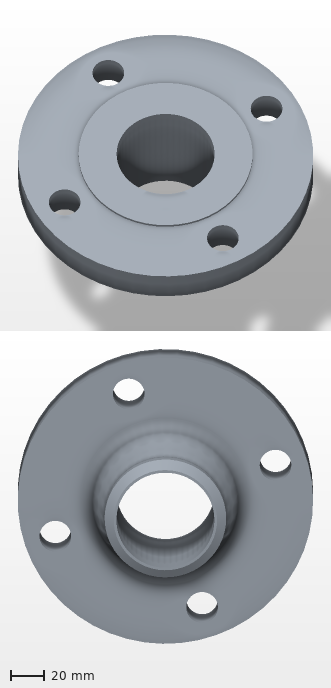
import cadquery as cq
import math


flange_diameter = 177.8
flange_thickness = 22.35
raised_face_diameter = 104.7
raised_face_height = 1.6
overall_height = 69.85

bolt_circle_diameter = 139.7
bolt_hole_diameter = 19.05
bolt_hole_count = 4

bore_diameter = 59.0
pipe_diameter = 73.2
hub_base_diameter = 90.5
hub_fillet_radius = 7.5
weld_land_length = 7.0
weld_root_face = 1.6
weld_bevel_angle = 37.5

bore_radius = bore_diameter / 2
pipe_radius = pipe_diameter / 2
bevel_end_radius = bore_radius + weld_root_face
bevel_height = (pipe_radius - bevel_end_radius) * math.tan(math.radians(weld_bevel_angle))
cone_start_height = bevel_height + weld_land_length
flange_bottom = overall_height - flange_thickness
flange_top = overall_height - raised_face_height

hub_base_radius = hub_base_diameter / 2
hub_taper_angle = math.atan2(hub_base_radius - pipe_radius, flange_bottom - cone_start_height)
fillet_tangent_length = hub_fillet_radius * math.tan((math.pi / 2 - hub_taper_angle) / 2)
fillet_start = (
    hub_base_radius - fillet_tangent_length * math.sin(hub_taper_angle),
    flange_bottom - fillet_tangent_length * math.cos(hub_taper_angle),
)
fillet_end = (hub_base_radius + fillet_tangent_length, flange_bottom)


def make_body():
    """Revolve the half section of the flange, hub and bore around the Z axis."""
    flange_radius = flange_diameter / 2
    raised_face_radius = raised_face_diameter / 2
    half_section = (
        cq.Workplane("XZ")
        .moveTo(bore_radius, 0)
        .lineTo(bevel_end_radius, 0)
        .lineTo(pipe_radius, bevel_height)
        .lineTo(pipe_radius, cone_start_height)
        .lineTo(*fillet_start)
        .radiusArc(fillet_end, hub_fillet_radius)
        .lineTo(flange_radius, flange_bottom)
        .lineTo(flange_radius, flange_top)
        .lineTo(raised_face_radius, flange_top)
        .lineTo(raised_face_radius, overall_height)
        .lineTo(bore_radius, overall_height)
        .close()
    )
    return half_section.revolve(360, (0, 0, 0), (0, 1, 0))


def make_bolt_holes():
    """Cutters for the bolt holes, evenly spaced and starting on the X axis."""
    return (
        cq.Workplane("XY", origin=(0, 0, flange_bottom))
        .polarArray(bolt_circle_diameter / 2, 0, 360, bolt_hole_count)
        .circle(bolt_hole_diameter / 2)
        .extrude(flange_thickness)
    )


result = make_body().cut(make_bolt_holes())